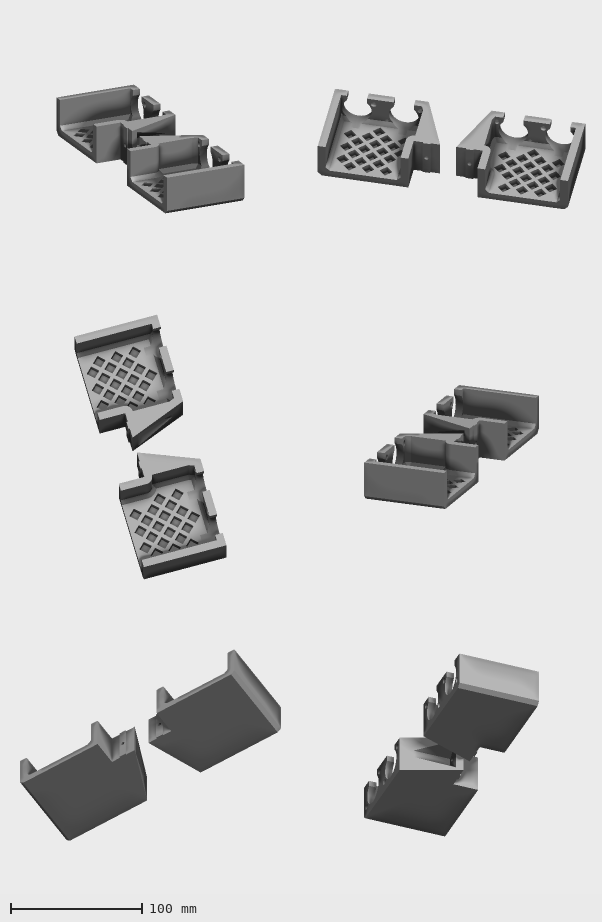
import cadquery as cq
import math

half_span = 97.2
depth = 65.3
height = 30.0
wall = 6.0
bevel = wall / 2
tray_width = 70.4

arm_front = 20.2
arm_back_x = 72.9
arm_tip_x = 91.0

pad_start_x = 77.5
pad_width = 5.8
pad_thickness = 1.0
pad_hole_diameter = 3.3

pocket_back_x = 76.8
pocket_back_height = 5.8
pocket_slope = 0.8
pocket_front_wall = 5.2

slant_corner_x = 68.8
slant_corner_length = 10.1

cradle_x = 18.3
cradle_pitch = 36.3
cradle_z = 17.0
cradle_radius = 11.5
cradle_length = 14.8
slot_width = 15.7
screw_offset_x = 13.0
screw_offset_z = 8.0
screw_hole_diameter = 4.5

diamond_pitch = 7.0
diamond_side = 7.0
diamond_depth = 5.5
diamond_first_x = 16.3
diamond_first_y = 8.0
diamond_rows = [
    [1, 3, 5],
    [0, 2, 4],
    [1, 3, 5],
    [0, 2, 4, 6],
    [1, 3, 5],
    [0, 2, 4, 6],
    [3],
]


def outer_block():
    """Tray and arm as one solid block, with the outer bottom edge bevelled."""
    block = (
        cq.Workplane("XY")
        .polyline([
            (0, 0),
            (tray_width, 0),
            (tray_width, arm_front),
            (arm_tip_x, arm_front),
            (arm_back_x, depth),
            (0, depth),
        ])
        .close()
        .extrude(height)
    )
    return block.edges("<X and <Z").chamfer(bevel)


def arm_pad():
    """Thin raised pad over the full height of the arm's front face."""
    corner = (pad_start_x, arm_front - pad_thickness, 0)
    return cq.Workplane("XY").box(pad_width, pad_thickness, height, centered=False).translate(corner)


def cavity():
    """Space inside the walls, open at the front and top, with bevelled floor edges."""
    front = -2 * bevel
    inner_x = tray_width - wall
    diagonal = wall * math.sqrt(0.5)
    tool = (
        cq.Workplane("XY", origin=(0, 0, wall))
        .moveTo(wall, front)
        .lineTo(wall, depth - wall)
        .lineTo(slant_corner_x, depth - wall)
        .lineTo(tray_width, depth - slant_corner_length)
        .lineTo(tray_width, arm_front + wall)
        .threePointArc((tray_width - diagonal, arm_front + diagonal), (inner_x, arm_front))
        .lineTo(inner_x, front)
        .close()
        .extrude(height)
    )
    return tool.faces("<Z").edges().chamfer(bevel)


def screw_holes(axis_x):
    """Two diagonal screw holes through the back wall only."""
    spots = [(axis_x + side * screw_offset_x, cradle_z + side * screw_offset_z) for side in (-1, 1)]
    return (
        cq.Workplane("XZ", origin=(0, depth, 0))
        .pushPoints(spots)
        .circle(screw_hole_diameter / 2)
        .extrude(wall)
    )


def cradle(axis_x):
    """Round motor seat, grooved into the floor, with an entry slot from above."""
    back = cq.Workplane("XZ", origin=(axis_x, depth, cradle_z))
    seat = back.circle(cradle_radius).extrude(cradle_length)
    slot = back.center(0, height / 2).rect(slot_width, height).extrude(cradle_length)
    return seat.union(slot)


def diamond_pockets():
    """Staggered grid of blind diamonds in the floor."""
    spots = [
        (diamond_first_x + column * diamond_pitch, diamond_first_y + row * diamond_pitch)
        for row, columns in enumerate(diamond_rows)
        for column in columns
    ]
    diamond = cq.Sketch().rect(diamond_side, diamond_side, angle=45)
    return (
        cq.Workplane("XY", origin=(0, 0, wall - diamond_depth))
        .pushPoints(spots)
        .placeSketch(diamond)
        .extrude(diamond_depth)
    )


def arm_pocket():
    """Pocket that flares from a narrow upright back towards the arm's tip."""
    back_half = pocket_back_height / 2
    mouth_half = back_half + pocket_slope * (arm_tip_x - pocket_back_x)
    return (
        cq.Workplane("XZ", origin=(0, depth, height / 2))
        .polyline([
            (pocket_back_x, -back_half),
            (arm_tip_x, -mouth_half),
            (arm_tip_x, mouth_half),
            (pocket_back_x, back_half),
        ])
        .close()
        .extrude(depth - arm_front - pocket_front_wall)
    )


def pad_hole():
    """Screw hole from the middle of the pad into the arm pocket."""
    center = (pad_start_x + pad_width / 2, arm_front - pad_thickness, height / 2)
    length = pad_thickness + 2 * pocket_front_wall
    return cq.Workplane("XZ", origin=center).circle(pad_hole_diameter / 2).extrude(-length)


def tray():
    """One complete tray, left of the mirror plane."""
    body = outer_block().union(arm_pad())
    body = body.cut(cavity())
    for axis_x in (cradle_x, cradle_x + cradle_pitch):
        body = body.cut(screw_holes(axis_x)).cut(cradle(axis_x))
    body = body.cut(diamond_pockets()).cut(arm_pocket()).cut(pad_hole())
    return body.translate((-half_span, 0, 0))


left_tray = tray()
right_tray = left_tray.mirror("YZ")

result = cq.Compound.makeCompound([left_tray.val(), right_tray.val()])